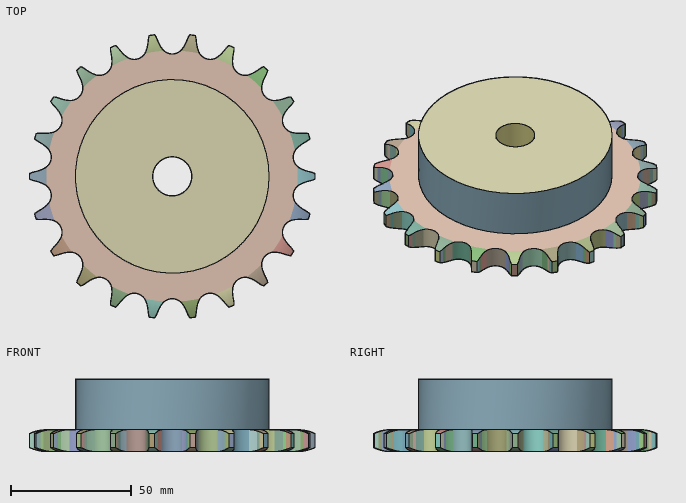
import cadquery as cq
import math

TEETH = 22
OUTER_DIAMETER = 118.0
PITCH_DIAMETER = 111.5
ROLLER_DIAMETER = 10.1
SEAT_CLEARANCE = 0.077
TOOTH_THICKNESS = 9.1
SIDE_RELIEF = 1.7
SIDE_RADIUS = 16.0
HUB_DIAMETER = 80.0
BORE_DIAMETER = 16.0
TOTAL_HEIGHT = 30.0

OUTER_RADIUS = OUTER_DIAMETER / 2
PITCH_RADIUS = PITCH_DIAMETER / 2

SEAT_RADIUS = (1.005 * ROLLER_DIAMETER + SEAT_CLEARANCE) / 2
WORKING_RADIUS = 1.3025 * ROLLER_DIAMETER + SEAT_CLEARANCE / 2
WORKING_CENTER_OFFSET = 0.8 * ROLLER_DIAMETER
TOPPING_CENTER_OFFSET = 1.4 * ROLLER_DIAMETER
SEAT_ANGLE = math.radians(35 + 60 / TEETH)
WORKING_SWEEP = math.radians(18 - 56 / TEETH)
TOPPING_ANGLE = math.radians(17 - 64 / TEETH)
FLANK_ANGLE = SEAT_ANGLE - WORKING_SWEEP
STRAIGHT_LENGTH = (
    TOPPING_CENTER_OFFSET * math.sin(TOPPING_ANGLE)
    - WORKING_CENTER_OFFSET * math.sin(WORKING_SWEEP)
)
TOPPING_RADIUS = (
    WORKING_CENTER_OFFSET * math.cos(WORKING_SWEEP)
    + TOPPING_CENTER_OFFSET * math.cos(TOPPING_ANGLE)
    - WORKING_RADIUS
)
TOPPING_SWEEP = math.radians(25)


def polar(center, radius, angle):
    """Point at a distance and direction from a center."""
    return (center[0] + radius * math.cos(angle), center[1] + radius * math.sin(angle))


def mirrored(point):
    """The matching point on the other side of the gap's center line."""
    return (-point[0], point[1])


def toothed_blank():
    """Disc whose rim is rounded on both sides, tangent to the flat faces."""
    relief_length = math.sqrt(SIDE_RADIUS**2 - (SIDE_RADIUS - SIDE_RELIEF) ** 2)
    flat_radius = OUTER_RADIUS - relief_length
    half_angle = math.asin(relief_length / SIDE_RADIUS) / 2
    mid_radius = flat_radius + SIDE_RADIUS * math.sin(half_angle)
    mid_relief = SIDE_RADIUS * (1 - math.cos(half_angle))
    return (
        cq.Workplane("XZ")
        .lineTo(flat_radius, 0)
        .threePointArc((mid_radius, mid_relief), (OUTER_RADIUS, SIDE_RELIEF))
        .lineTo(OUTER_RADIUS, TOOTH_THICKNESS - SIDE_RELIEF)
        .threePointArc((mid_radius, TOOTH_THICKNESS - mid_relief), (flat_radius, TOOTH_THICKNESS))
        .lineTo(0, TOOTH_THICKNESS)
        .close()
        .revolve(360, (0, 0, 0), (0, 1, 0))
    )


def tooth_gap():
    """Cutter for one gap between teeth, centered on the +Y axis."""
    roller = (0, PITCH_RADIUS)
    seat_bottom = (0, PITCH_RADIUS - SEAT_RADIUS)
    seat_end = polar(roller, SEAT_RADIUS, SEAT_ANGLE + math.pi)

    working_center = polar(roller, WORKING_CENTER_OFFSET, SEAT_ANGLE)
    mid_working_angle = SEAT_ANGLE - WORKING_SWEEP / 2
    working_mid = polar(working_center, WORKING_RADIUS, mid_working_angle + math.pi)
    working_end = polar(working_center, WORKING_RADIUS, FLANK_ANGLE + math.pi)

    straight_end = polar(working_end, STRAIGHT_LENGTH, FLANK_ANGLE + math.pi / 2)
    topping_center = polar(straight_end, TOPPING_RADIUS, FLANK_ANGLE + math.pi)
    topping_mid = polar(topping_center, TOPPING_RADIUS, FLANK_ANGLE + TOPPING_SWEEP / 2)
    topping_end = polar(topping_center, TOPPING_RADIUS, FLANK_ANGLE + TOPPING_SWEEP)

    return (
        cq.Workplane("XY")
        .moveTo(*topping_end)
        .threePointArc(topping_mid, straight_end)
        .lineTo(*working_end)
        .threePointArc(working_mid, seat_end)
        .threePointArc(seat_bottom, mirrored(seat_end))
        .threePointArc(mirrored(working_mid), mirrored(working_end))
        .lineTo(*mirrored(straight_end))
        .threePointArc(mirrored(topping_mid), mirrored(topping_end))
        .close()
        .extrude(TOOTH_THICKNESS)
    )


wheel = toothed_blank()
gap = tooth_gap()
for index in range(TEETH):
    wheel = wheel.cut(gap.rotate((0, 0, 0), (0, 0, 1), index * 360 / TEETH))

hub = cq.Workplane("XY").circle(HUB_DIAMETER / 2).extrude(TOTAL_HEIGHT)
bore = cq.Workplane("XY").circle(BORE_DIAMETER / 2).extrude(TOTAL_HEIGHT)
result = wheel.union(hub).cut(bore)